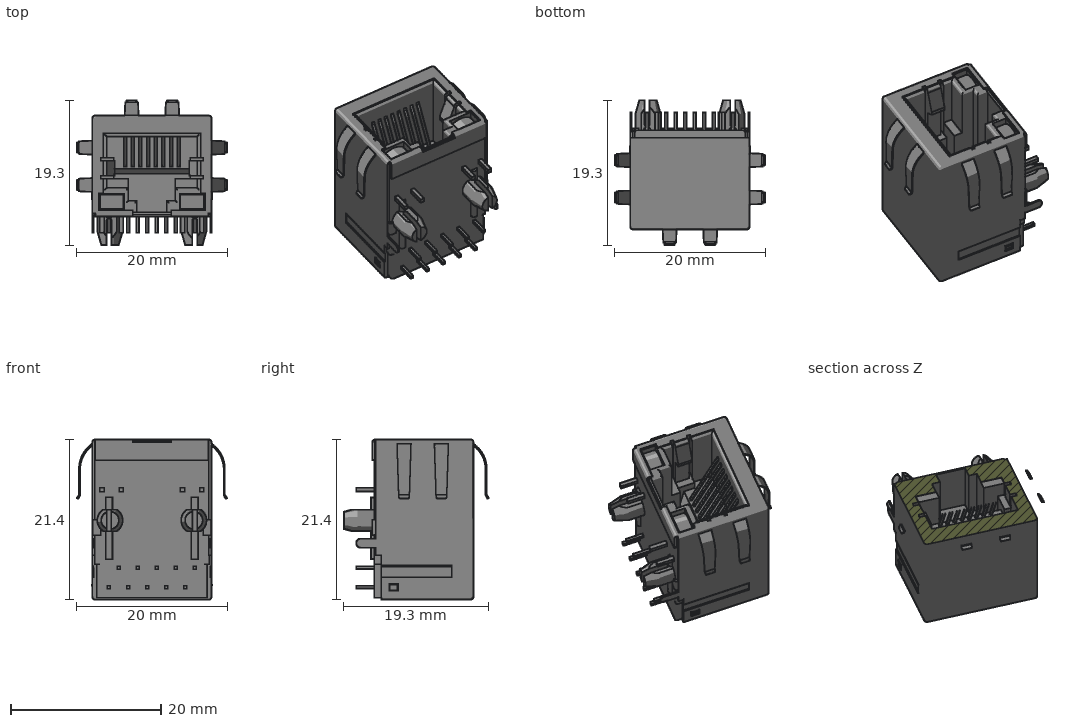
import cadquery as cq
import math


SHELL_HALF_X = 7.95
SHELL_BACK_Y = 13.22
SHELL_FRONT_Y = 0.2
HEIGHT = 21.35
SHEET = 0.2
EDGE_RADIUS = 0.42
RIM_Z = HEIGHT - SHEET
RELIEF_TOP_Z = 5.9
RELIEF_Y = 0.96

HOUSING_HALF_X = 7.6
HOUSING_EDGE_RADIUS = 0.26
FOOT_HALF_X = 7.34
FOOT_EDGE_RADIUS = 0.3
FOOT_TOP_Z = 4.7
HOUSING_BOTTOM_Z = 0.26
HOUSING_DEPTH = 2.0

LIP_HALF_X = 7.52
LIP_Y = -0.26
LIP_BOTTOM_Z = 18.6
LIP_NOTCH_HALF_X = 2.54
LIP_NOTCH_DEPTH = 0.37
FRONT_WALL_DEPTH = 0.45

WINDOW_HALF_X = 6.47
WINDOW_TOP_Y = 10.87
CAVITY_HALF_X = 6.0
CAVITY_TOP_Y = 10.4
SHOULDER_Y = 3.6
KEYWAY_HALF_X = 3.13
KEYWAY_Y = 1.88
LATCH_HALF_X = 2.0
LATCH_Y = 0.34
MOUTH_RADIUS = 0.3
CAVITY_FLOOR_Z = 7.6
CORNER_STOP_Y = 4.8
CORNER_STOP_TOP_Z = 14.0
TRAY_TOP_Z = 10.7
TRAY_EDGE_Y = 6.1
TRAY_FOOT_Y = 5.45

CONTACT_COUNT = 8
CONTACT_PITCH = 1.016
CONTACT_WIDTH = 0.4
CONTACT_THICKNESS = 0.35
CONTACT_TOP_Z = 18.76
CONTACT_BEND_Y = 9.8
CONTACT_BEND_Z = 17.65
CONTACT_END_Y = 6.39

LED_WINDOW_X = (3.58, 7.08)
LED_WINDOW_Y = (0.6, 2.87)
LED_WELL_X = (3.68, 6.98)
LED_WELL_Y = (0.72, 2.77)
LED_X = (3.8, 6.87)
LED_Y = (0.8, 2.68)
LED_WELL_FLOOR_Z = 19.3
LED_SIDE_Z = 20.3
LED_CROWN_Z = 20.85

TONGUE_Y = (5.23, 7.2)
TONGUE_SLIT = 0.41
SLIT_OUTER_X = 6.8
TONGUE_TOP = (6.07, 20.87)
TONGUE_TIP_X = 4.95
TONGUE_TIP_Z = (17.5, 18.0)
TONGUE_UNDERSIDE_Z = 16.9
LEDGE_X = 5.08
LEDGE_Z = 12.0

SPRING_REACH = 1.68
SPRING_TIP_REACH = 2.05
SPRING_ARC_TOP = (0.4, 20.3)
SPRING_ARC_END_Z = 17.4
SPRING_KINK_Z = 13.95
SPRING_TIP_Z = 13.45
SPRING_ROOT_WIDTH = 1.9
SPRING_TIP_WIDTH = 1.4
SPRING_TIP_RADIUS = 0.3
SPRING_SHEET = 0.18
SIDE_SPRING_Y = (3.97, 8.94)
BACK_SPRING_X = (-2.7, 2.7)

PIN_END_Y = -2.4
PIN_ROOT_Y = 0.5
SIGNAL_PIN = 0.4
SIGNAL_PITCH = 2.54
SIGNAL_COUNT = 5
LOWER_ROW = (-5.715, 1.7)
UPPER_ROW = (-4.445, 4.29)
LED_PIN = 0.55
LED_PIN_X = (4.07, 6.64)
LED_PIN_Z = 14.66

RIB_X = 5.7
RIB_RADIUS = 0.47
RIB_Y = 0.04
RIB_Z = (5.4, 13.63)
PEG_X = 5.58
PEG_Z = 10.57
PEG_RADIUS = 1.69
PEG_TIP_RADIUS = 1.17
PEG_HALF_HEIGHT = 1.43
PEG_CONE_Y = -2.2
PEG_END_Y = -4.03
PEG_SLOT_WIDTH = 0.64
PEG_SLOT_Y = -0.5

TAB_X = (6.8, 7.88)
TAB_Z = (8.6, 10.65)
TAB_RADIUS = 0.4
LEG_Z = (6.92, 8.15)
LEG_END_Y = -2.4
LEG_ROUNDING = 0.49

GROOVE_Y = (RELIEF_Y, 10.33)
GROOVE_Z = (3.0, 4.6)
GROOVE_BEVEL = (0.15, 0.18)
GROOVE_SLOPE = 0.4
GROOVE_DEPTH = 0.18
CATCH_Y = (2.0, 3.2)
CATCH_Z = (1.18, 2.12)
CATCH_GAP = 0.1
CATCH_PEAK_X = 8.04


def block(x, y, z):
    """Axis-aligned box from three (low, high) pairs."""
    return (
        cq.Workplane("XY")
        .box(x[1] - x[0], y[1] - y[0], z[1] - z[0], centered=False)
        .translate((x[0], y[0], z[0]))
    )


def prism_along_y(points, y):
    """Extrude an (x, z) outline from y[0] to y[1]."""
    return cq.Workplane("XZ", origin=(0, y[0], 0)).polyline(points).close().extrude(y[0] - y[1])


def prism_along_x(points, x):
    """Extrude a (y, z) outline from x[0] to x[1]."""
    return cq.Workplane("YZ", origin=(x[0], 0, 0)).polyline(points).close().extrude(x[1] - x[0])


def both_sides(shape):
    """The shape together with its mirror image across x = 0."""
    return shape.union(shape.mirror("YZ"))


def make_shell():
    full = block((-SHELL_HALF_X, SHELL_HALF_X), (SHELL_FRONT_Y, SHELL_BACK_Y), (0, HEIGHT))
    full = full.edges("|Y or (>Y and (not |Y))").fillet(EDGE_RADIUS)
    relief = block(
        (-SHELL_HALF_X, SHELL_HALF_X), (SHELL_FRONT_Y, RELIEF_Y), (0, RELIEF_TOP_Z)
    )
    return full.cut(relief)


def make_housing():
    upper = block((-HOUSING_HALF_X, HOUSING_HALF_X), (0, HOUSING_DEPTH), (FOOT_TOP_Z, RIM_Z))
    upper = upper.edges("|Z and <Y").fillet(HOUSING_EDGE_RADIUS)
    foot = block((-FOOT_HALF_X, FOOT_HALF_X), (0, HOUSING_DEPTH), (HOUSING_BOTTOM_Z, FOOT_TOP_Z))
    foot = foot.edges("|Z and <Y").fillet(FOOT_EDGE_RADIUS)
    return upper.union(foot)


def make_lip():
    lip = block((-LIP_HALF_X, LIP_HALF_X), (LIP_Y, LED_WINDOW_Y[0]), (LIP_BOTTOM_Z, HEIGHT))
    return lip.edges(">Z and <Y").fillet(EDGE_RADIUS)


def make_window():
    """Opening in the sheet on the top face, wider around the two light pipes."""
    top = (RIM_Z, HEIGHT)
    opening = block((-WINDOW_HALF_X, WINDOW_HALF_X), (LED_WINDOW_Y[0], WINDOW_TOP_Y), top)
    opening = opening.union(block((-LED_WINDOW_X[1], LED_WINDOW_X[1]), LED_WINDOW_Y, top))
    notch = block(
        (-LIP_NOTCH_HALF_X, LIP_NOTCH_HALF_X),
        (LIP_Y, LATCH_Y),
        (HEIGHT - LIP_NOTCH_DEPTH, HEIGHT),
    )
    wall_top = block(
        (-LIP_NOTCH_HALF_X, LIP_NOTCH_HALF_X),
        (0, LATCH_Y),
        (HEIGHT - FRONT_WALL_DEPTH, HEIGHT),
    )
    step = block((-LIP_NOTCH_HALF_X, LIP_NOTCH_HALF_X), (LATCH_Y, LED_WINDOW_Y[0]), top)
    return opening.union(notch).union(wall_top).union(step)


def make_cavity():
    half = [
        (CAVITY_HALF_X, CAVITY_TOP_Y),
        (CAVITY_HALF_X, SHOULDER_Y),
        (KEYWAY_HALF_X, SHOULDER_Y),
        (KEYWAY_HALF_X, KEYWAY_Y),
        (LATCH_HALF_X, KEYWAY_Y),
        (LATCH_HALF_X, LATCH_Y),
    ]
    mirrored = [(-x, y) for x, y in reversed(half)]
    cavity = (
        cq.Workplane("XY", origin=(0, 0, CAVITY_FLOOR_Z))
        .polyline(half + mirrored)
        .close()
        .extrude(RIM_Z - CAVITY_FLOOR_Z)
    )
    stop = block(
        (KEYWAY_HALF_X, CAVITY_HALF_X),
        (SHOULDER_Y, CORNER_STOP_Y),
        (CAVITY_FLOOR_Z, CORNER_STOP_TOP_Z),
    )
    tray = prism_along_x(
        [
            (TRAY_FOOT_Y, CAVITY_FLOOR_Z),
            (TRAY_EDGE_Y, TRAY_TOP_Z),
            (CAVITY_TOP_Y, TRAY_TOP_Z),
            (CAVITY_TOP_Y, CAVITY_FLOOR_Z),
        ],
        (-CAVITY_HALF_X, CAVITY_HALF_X),
    )
    return cavity.cut(both_sides(stop)).cut(tray)


def make_contacts():
    """Sloping contact fingers from the cavity wall down to the tray."""
    upper_edge = [
        (CAVITY_TOP_Y, CONTACT_TOP_Z),
        (CONTACT_BEND_Y, CONTACT_BEND_Z),
        (CONTACT_END_Y, TRAY_TOP_Z),
    ]
    lower_edge = [(y, z - CONTACT_THICKNESS) for y, z in reversed(upper_edge)]
    contacts = cq.Workplane("XY")
    for i in range(CONTACT_COUNT):
        left = (i - (CONTACT_COUNT - 1) / 2) * CONTACT_PITCH - CONTACT_WIDTH / 2
        contacts = contacts.union(
            prism_along_x(upper_edge + lower_edge, (left, left + CONTACT_WIDTH))
        )
    return contacts


def make_led_wells():
    return both_sides(block(LED_WELL_X, LED_WELL_Y, (LED_WELL_FLOOR_Z, HEIGHT)))


def make_leds():
    led = (
        cq.Workplane("XZ", origin=(0, LED_Y[0], 0))
        .moveTo(LED_X[0], LED_WELL_FLOOR_Z)
        .lineTo(LED_X[0], LED_SIDE_Z)
        .threePointArc((sum(LED_X) / 2, LED_CROWN_Z), (LED_X[1], LED_SIDE_Z))
        .lineTo(LED_X[1], LED_WELL_FLOOR_Z)
        .close()
        .extrude(LED_Y[0] - LED_Y[1])
    )
    return both_sides(led)


def round_mouth(cavity):
    """Widen the top of the cavity with rounded edges on all but its front wall."""
    margin = 2 * MOUTH_RADIUS
    reach = CAVITY_HALF_X + margin
    frame = block(
        (-reach, reach), (LATCH_Y, CAVITY_TOP_Y + margin), (RIM_Z - margin, RIM_Z)
    ).cut(cavity)
    inside = cq.selectors.BoxSelector(
        (-reach + MOUTH_RADIUS, LATCH_Y + MOUTH_RADIUS, RIM_Z - SHEET),
        (reach - MOUTH_RADIUS, CAVITY_TOP_Y + MOUTH_RADIUS, RIM_Z + SHEET),
    )
    rounded = frame.edges(inside).fillet(MOUTH_RADIUS)
    return cavity.union(frame.cut(rounded))


def slit_ranges():
    """Y ranges of the two slits beside a tongue."""
    low, high = TONGUE_Y
    return [(low - TONGUE_SLIT, low), (high, high + TONGUE_SLIT)]


def make_slits():
    slits = cq.Workplane("XY")
    for y in slit_ranges():
        slits = slits.union(block((CAVITY_HALF_X, SLIT_OUTER_X), y, (LEDGE_Z, HEIGHT)))
    return both_sides(slits)


def make_tongues():
    """Solid ramps leaning into the cavity, and the ledges below them."""
    tongue = prism_along_y(
        [
            (SLIT_OUTER_X, TONGUE_TOP[1]),
            TONGUE_TOP,
            (TONGUE_TIP_X, TONGUE_TIP_Z[1]),
            (TONGUE_TIP_X, TONGUE_TIP_Z[0]),
            (CAVITY_HALF_X, TONGUE_UNDERSIDE_Z),
            (SLIT_OUTER_X, TONGUE_UNDERSIDE_Z),
        ],
        TONGUE_Y,
    )
    ledge_y = (TONGUE_Y[0] - TONGUE_SLIT, TONGUE_Y[1] + TONGUE_SLIT)
    ledge = block((LEDGE_X, SLIT_OUTER_X), ledge_y, (CAVITY_FLOOR_Z, LEDGE_Z))
    return both_sides(tongue.union(ledge))


def make_spring():
    """Grounding spring on a wall at x = 0, centred on y = 0 and reaching toward +X."""
    rise = SPRING_ARC_TOP[1] - SPRING_ARC_END_Z
    run = SPRING_REACH - SPRING_ARC_TOP[0]
    radius = (run**2 + rise**2) / (2 * run)
    arc_x = SPRING_REACH - radius
    end_angle = math.asin(rise / radius)
    half = SPRING_SHEET / 2
    plan_start_x = -1.0

    def on_arc(r, angle):
        return (arc_x + r * math.cos(angle), SPRING_ARC_END_Z + r * math.sin(angle))

    inner, outer = radius - half, radius + half
    root_dx = -SPRING_ARC_TOP[0] - SHEET
    root_dz = -root_dx / math.tan(end_angle)
    outer_end = on_arc(outer, end_angle)
    inner_end = on_arc(inner, end_angle)
    profile = (
        cq.Workplane("XZ")
        .moveTo(SPRING_REACH + half, SPRING_KINK_Z)
        .lineTo(*on_arc(outer, 0))
        .threePointArc(on_arc(outer, end_angle / 2), outer_end)
        .lineTo(outer_end[0] + root_dx, outer_end[1] + root_dz)
        .lineTo(inner_end[0] + root_dx, inner_end[1] + root_dz)
        .lineTo(*inner_end)
        .threePointArc(on_arc(inner, end_angle / 2), on_arc(inner, 0))
        .lineTo(SPRING_REACH - half, SPRING_KINK_Z)
        .lineTo(SPRING_TIP_REACH - SPRING_SHEET, SPRING_TIP_Z)
        .lineTo(SPRING_TIP_REACH, SPRING_TIP_Z + half)
        .close()
        .extrude(SPRING_ROOT_WIDTH / 2, both=True)
    )
    root, tip = SPRING_ROOT_WIDTH / 2, SPRING_TIP_WIDTH / 2
    plan = (
        cq.Workplane("YZ", origin=(plan_start_x, 0, 0))
        .polyline([(-root, HEIGHT), (root, HEIGHT), (tip, SPRING_TIP_Z), (-tip, SPRING_TIP_Z)])
        .close()
        .extrude(SPRING_TIP_REACH - plan_start_x)
        .edges("|X and <Z")
        .fillet(SPRING_TIP_RADIUS)
    )
    return profile.intersect(plan)


def make_springs():
    spring = make_spring()
    springs = cq.Workplane("XY")
    for y in SIDE_SPRING_Y:
        springs = springs.union(both_sides(spring.translate((SHELL_HALF_X, y, 0))))
    upright = spring.rotate((0, 0, 0), (0, 0, 1), 90)
    for x in BACK_SPRING_X:
        springs = springs.union(upright.translate((x, SHELL_BACK_Y, 0)))
    return springs


def make_pin(x, z, size):
    half = size / 2
    return block((x - half, x + half), (PIN_END_Y, PIN_ROOT_Y), (z - half, z + half))


def make_pins():
    pins = cq.Workplane("XY")
    for first_x, z in (LOWER_ROW, UPPER_ROW):
        for i in range(SIGNAL_COUNT):
            pins = pins.union(make_pin(first_x + i * SIGNAL_PITCH, z, SIGNAL_PIN))
    for x in LED_PIN_X:
        pins = pins.union(both_sides(make_pin(x, LED_PIN_Z, LED_PIN)))
    return pins


def make_pegs():
    """Split locating pegs with flats and tapered tips, each crossed by a half-round rib."""
    peg = (
        cq.Workplane("XY")
        .moveTo(0, PIN_ROOT_Y)
        .lineTo(PEG_RADIUS, PIN_ROOT_Y)
        .lineTo(PEG_RADIUS, PEG_CONE_Y)
        .lineTo(PEG_TIP_RADIUS, PEG_END_Y)
        .lineTo(0, PEG_END_Y)
        .close()
        .revolve(360, (0, 0, 0), (0, 1, 0))
        .translate((PEG_X, 0, PEG_Z))
    )
    flats = (PEG_Z - PEG_HALF_HEIGHT, PEG_Z + PEG_HALF_HEIGHT)
    peg_x = (PEG_X - PEG_RADIUS, PEG_X + PEG_RADIUS)
    peg = peg.intersect(block(peg_x, (PEG_END_Y, PIN_ROOT_Y), flats))
    half_slot = PEG_SLOT_WIDTH / 2
    slot_centre_y = PEG_SLOT_Y - half_slot
    slot = block((RIB_X - half_slot, RIB_X + half_slot), (PEG_END_Y, slot_centre_y), flats)
    slot = slot.union(
        cq.Workplane("XY", origin=(RIB_X, slot_centre_y, flats[0]))
        .circle(half_slot)
        .extrude(flats[1] - flats[0])
    )
    rib = (
        cq.Workplane("XY", origin=(RIB_X, RIB_Y, RIB_Z[0]))
        .circle(RIB_RADIUS)
        .extrude(RIB_Z[1] - RIB_Z[0])
    )
    return both_sides(peg.cut(slot).union(rib))


def make_tabs_and_legs():
    tab = block(TAB_X, (LIP_Y, SHELL_FRONT_Y), TAB_Z)
    tab = tab.edges("|Z and <Y and >X").fillet(TAB_RADIUS)
    leg_x = (SHELL_HALF_X - SHEET, SHELL_HALF_X)
    leg = block(leg_x, (LEG_END_Y, RELIEF_Y), LEG_Z)
    leg = leg.edges("|X and <Y").fillet((LEG_Z[1] - LEG_Z[0]) * LEG_ROUNDING)
    return both_sides(tab.union(leg))


def make_grooves():
    """Long side grooves with a sloping upper wall."""
    floor_x = SHELL_HALF_X - GROOVE_DEPTH
    groove = prism_along_y(
        [
            (SHELL_HALF_X, GROOVE_Z[0]),
            (floor_x, GROOVE_Z[0]),
            (floor_x, GROOVE_Z[1] - GROOVE_SLOPE),
            (SHELL_HALF_X - GROOVE_BEVEL[0], GROOVE_Z[1] - GROOVE_BEVEL[1]),
            (SHELL_HALF_X, GROOVE_Z[1]),
        ],
        GROOVE_Y,
    )
    return both_sides(groove)


def make_catch_windows():
    return both_sides(block((SHELL_HALF_X - SHEET, SHELL_HALF_X), CATCH_Y, CATCH_Z))


def make_catches():
    """Wedge-shaped catches that stand slightly proud of the shell."""
    root_x = SHELL_HALF_X - SHEET
    top_z = CATCH_Z[1] - CATCH_GAP
    catch = prism_along_y(
        [
            (root_x - SHEET, CATCH_Z[0] + CATCH_GAP),
            (root_x, CATCH_Z[0] + CATCH_GAP),
            (CATCH_PEAK_X, top_z),
            (root_x - SHEET, top_z),
        ],
        (CATCH_Y[0] + CATCH_GAP, CATCH_Y[1] - CATCH_GAP),
    )
    return both_sides(catch)


result = make_shell().union(make_housing()).union(make_lip())
for removed in (
    make_window(),
    round_mouth(make_cavity()),
    make_led_wells(),
    make_slits(),
    make_grooves(),
    make_catch_windows(),
):
    result = result.cut(removed)
for added in (
    make_contacts(),
    make_leds(),
    make_tongues(),
    make_springs(),
    make_pins(),
    make_pegs(),
    make_tabs_and_legs(),
    make_catches(),
):
    result = result.union(added)